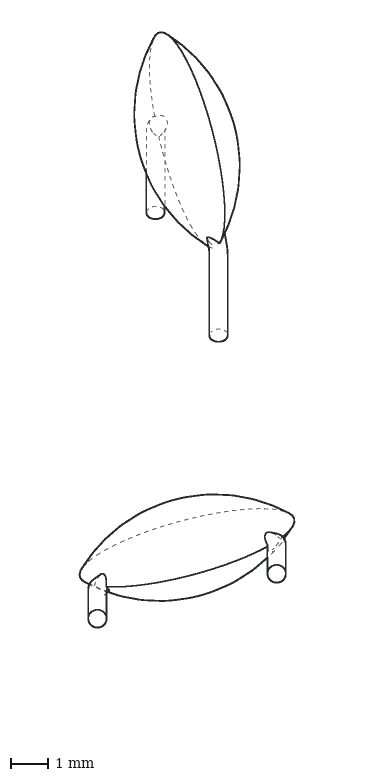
import cadquery as cq
import math

body_radius = 3.0
body_thickness = 2.5

lead_diameter = 0.5
lead_spacing = 5.0
lead_end_z = -5.1
bend_start_z = -2.0
bend_radius = 0.5
bend_angle = 30.0
embedded_length = 0.5


def lens_body():
    """Two spherical caps meeting at a sharp rim, revolved about Y."""
    half_thickness = body_thickness / 2
    cap_radius = (body_radius**2 + half_thickness**2) / body_thickness
    cap_centre_y = half_thickness - cap_radius
    half_rim_angle = math.asin(body_radius / cap_radius) / 2
    mid_x = cap_radius * math.sin(half_rim_angle)
    mid_y = cap_centre_y + cap_radius * math.cos(half_rim_angle)
    return (
        cq.Workplane("XY")
        .moveTo(0, -half_thickness)
        .threePointArc((mid_x, -mid_y), (body_radius, 0))
        .threePointArc((mid_x, mid_y), (0, half_thickness))
        .close()
        .revolve(360, (0, 0), (0, 1))
    )


def bend_point(lead_x, angle):
    """Centreline point (X, Z) on the bend of the left lead after turning by angle (degrees)."""
    turn = math.radians(angle)
    x = lead_x + bend_radius * (1 - math.cos(turn))
    z = bend_start_z + bend_radius * math.sin(turn)
    return x, z


def left_lead():
    """Wire swept up from its tip, round the bend and into the body."""
    lead_x = -lead_spacing / 2
    lean = math.radians(bend_angle)
    bend_end_x, bend_end_z = bend_point(lead_x, bend_angle)
    inner_end = (
        bend_end_x + embedded_length * math.sin(lean),
        bend_end_z + embedded_length * math.cos(lean),
    )
    centreline = (
        cq.Workplane("XZ")
        .moveTo(lead_x, lead_end_z)
        .lineTo(lead_x, bend_start_z)
        .threePointArc(bend_point(lead_x, bend_angle / 2), (bend_end_x, bend_end_z))
        .lineTo(*inner_end)
    )
    return (
        cq.Workplane("XY", origin=(lead_x, 0, lead_end_z))
        .circle(lead_diameter / 2)
        .sweep(centreline)
    )


lead = left_lead()
result = lens_body().union(lead).union(lead.mirror("YZ"))